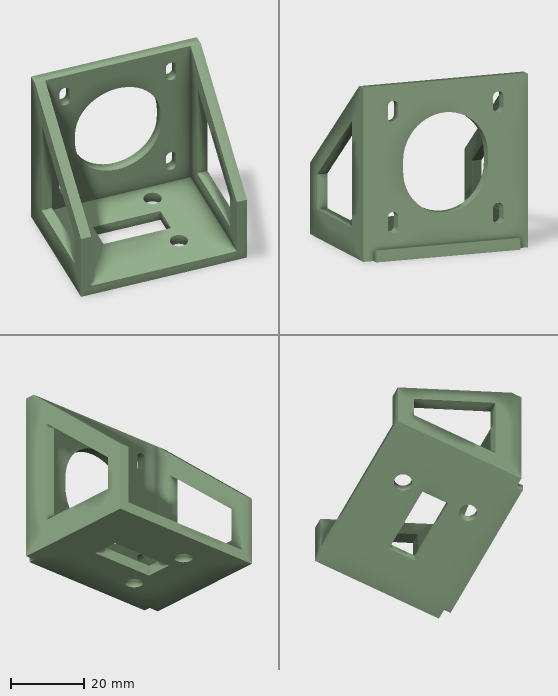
import cadquery as cq

width = 48.4
height = 48.4
total_depth = 40.0
wall = 3.0
lip_depth = 2.0
body_depth = total_depth - lip_depth
rear_height = 20.0
inner_width = width - 2 * wall

window_margin = 8.0
window_rear_margin = 5.0
window_front_top = 37.8
window_rear_top = 17.65

motor_height = 25.7
slot_travel = 3.0
bore_diameter = 25.0
screw_slot_width = 3.0
screw_spacing = 31.0

floor_center_x = (body_depth - lip_depth) / 2
floor_hole_diameter = 5.0
floor_hole_spacing = 20.0
floor_hole_y = 8.2
floor_slot_width = 8.0
floor_slot_length = 19.7


def box(x_size, y_size, z_size, x_start):
    """Box resting on Z = 0, centred in Y, starting at x_start."""
    return (
        cq.Workplane("XY")
        .box(x_size, y_size, z_size, centered=(False, True, False))
        .translate((x_start, 0, 0))
    )


def side_wall(y_start):
    """Sloped side wall with a matching window, occupying Y from y_start."""
    outline = [
        (0, 0),
        (body_depth, 0),
        (body_depth, rear_height),
        (wall, height),
        (0, height),
    ]
    window_rear = body_depth - window_rear_margin
    window = [
        (window_margin, window_margin),
        (window_rear, window_margin),
        (window_rear, window_rear_top),
        (window_margin, window_front_top),
    ]
    return (
        cq.Workplane("XZ", origin=(0, y_start, 0))
        .polyline(outline).close()
        .polyline(window).close()
        .extrude(-wall)
    )


def face_slots(points, slot_width):
    """Vertical rounded slots through the face plate."""
    return (
        cq.Workplane("YZ", origin=(0, 0, motor_height))
        .pushPoints(points)
        .slot2D(slot_width + slot_travel, slot_width, 90)
        .extrude(wall)
    )


face_plate = box(wall, width, height, 0)
floor = box(body_depth, width, wall, 0)
lip = box(lip_depth, inner_width, wall, -lip_depth)
result = face_plate.union(floor).union(lip)
for wall_start in (-width / 2, width / 2 - wall):
    result = result.union(side_wall(wall_start))

half_spacing = screw_spacing / 2
screw_points = [(y, z) for y in (-half_spacing, half_spacing) for z in (-half_spacing, half_spacing)]
result = result.cut(face_slots([(0, 0)], bore_diameter))
result = result.cut(face_slots(screw_points, screw_slot_width))

floor_plane = cq.Workplane("XY", origin=(floor_center_x, floor_hole_y, 0))
hole_offset = floor_hole_spacing / 2
floor_holes = (
    floor_plane.pushPoints([(-hole_offset, 0), (hole_offset, 0)])
    .circle(floor_hole_diameter / 2)
    .extrude(wall)
)
floor_slot = (
    floor_plane.center(0, -floor_slot_length / 2)
    .rect(floor_slot_width, floor_slot_length)
    .extrude(wall)
)
result = result.cut(floor_holes).cut(floor_slot).clean()